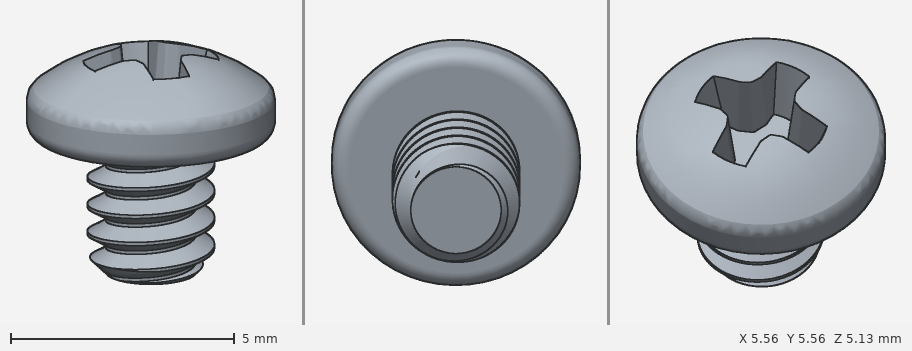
import cadquery as cq
import math

head_radius = 2.78
head_height = 2.04
dome_radius = 4.28
rim_fillet = 0.365

shank_length = 3.165
crest_radius = 1.425
root_radius = 1.01
pitch = 0.635
crest_width = pitch / 8
flank_angle = math.radians(30)
first_crest_depth = 0.155
head_overlap = 0.165
root_overlap = 0.035
trim_margin = 0.055

recess_floor = 0.36
floor_wing_radius = 1.125
floor_half_width = 0.29
floor_throat = 0.75
floor_corner = 0.42
side_draft = math.radians(5.4)
wing_end_draft = math.radians(15.7)
corner_fillet = 0.12
throat_growth = 0.3
corner_growth = 0.8
wing_count = 4


def make_head():
    dome_center = head_height - dome_radius
    edge_height = dome_center + math.sqrt(dome_radius**2 - head_radius**2)
    half_edge = head_radius / 2
    arc_mid_height = dome_center + math.sqrt(dome_radius**2 - half_edge**2)
    blank = (
        cq.Workplane("XZ")
        .lineTo(head_radius, 0)
        .lineTo(head_radius, edge_height)
        .threePointArc((half_edge, arc_mid_height), (0, head_height))
        .close()
        .revolve(360, (0, 0, 0), (0, 1, 0))
    )
    return blank.edges("%CIRCLE").fillet(rim_fillet)


def make_threaded_rod():
    """Core with a helical ridge, longer than the shank at both ends."""
    turns_below = math.ceil(shank_length / pitch) + 1
    start = -first_crest_depth - turns_below * pitch
    helix_height = (turns_below + 1) * pitch
    inner_radius = root_radius - root_overlap
    half_crest = crest_width / 2
    half_base = half_crest + (crest_radius - inner_radius) * math.tan(flank_angle)
    helix = cq.Wire.makeHelix(pitch, helix_height, root_radius, cq.Vector(0, 0, start))
    ridge = (
        cq.Workplane("XZ")
        .polyline([
            (inner_radius, start - half_base),
            (crest_radius, start - half_crest),
            (crest_radius, start + half_crest),
            (inner_radius, start + half_base),
        ])
        .close()
        .sweep(cq.Workplane(helix), isFrenet=True)
    )
    core = (
        cq.Workplane("XY").workplane(offset=start - pitch)
        .circle(root_radius)
        .extrude(helix_height + 2 * pitch)
    )
    return core.union(ridge, clean=False)


def make_shank():
    """Threaded rod trimmed to length, with a 45 degree chamfer at the tip."""
    trim_radius = crest_radius + trim_margin
    envelope = (
        cq.Workplane("XY").workplane(offset=-shank_length)
        .circle(trim_radius)
        .extrude(shank_length + head_overlap)
        .faces("<Z")
        .chamfer(trim_radius - root_radius)
    )
    return make_threaded_rod().intersect(envelope, clean=False)


def cross_points(growth, reach):
    """Cross outline whose wing width and corners have grown outward by growth."""
    width = floor_half_width + growth
    throat = floor_throat + growth * throat_growth
    corner = floor_corner + growth * corner_growth
    quarter = [(reach, width), (throat, width), (corner, corner), (width, throat), (width, reach)]
    points = []
    for _ in range(wing_count):
        points += quarter
        quarter = [(-y, x) for x, y in quarter]
    return points


def make_recess():
    height = head_height - recess_floor
    reach = head_radius
    throat_reach = floor_wing_radius
    cross = (
        cq.Workplane("XY").workplane(offset=recess_floor)
        .polyline(cross_points(0, reach)).close()
        .workplane(offset=height)
        .polyline(cross_points(height * math.tan(side_draft), reach)).close()
        .loft(ruled=True)
    )
    wing_ends = (
        cq.Workplane("XY").workplane(offset=recess_floor)
        .circle(floor_wing_radius)
        .extrude(height, taper=-math.degrees(wing_end_draft))
    )
    throat_edges = cq.selectors.BoxSelector(
        (-throat_reach, -throat_reach, recess_floor),
        (throat_reach, throat_reach, recess_floor + height),
    )
    cross = cross.edges("not #Z").edges(throat_edges).fillet(corner_fillet)
    return cross.intersect(wing_ends)


result = make_head().cut(make_recess()).union(make_shank(), clean=False)